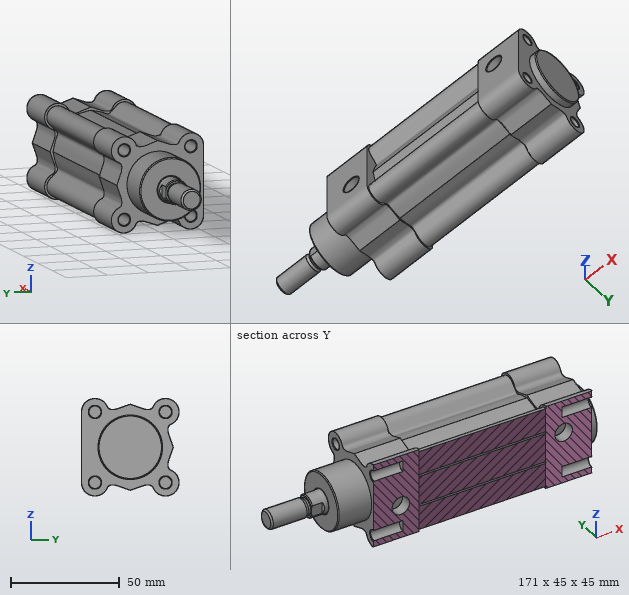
import cadquery as cq
import math


WRENCH_START = 21.5
WRENCH_END = 27.9
ROD_FULL = 28.7
BOSS_START = 30.0
FRONT_HEAD_START = 48.0
TUBE_START = 73.0
REAR_HEAD_START = 142.0
REAR_HEAD_END = 167.0
OVERALL_LENGTH = 171.0

ROD_RADIUS = 6.0
THREAD_RADIUS = 5.0
THREAD_END = 19.2
NECK_RADIUS = 4.5
NECK_START = 20.5
TIP_CHAMFER = 0.9
WRENCH_RADIUS = 5.8
WRENCH_CHAMFER = 0.5
ACROSS_FLATS = 10.1
FLAT_END = 27.4
RUNOUT_ANGLE = 45.0

HEAD_WIDTH = 45.0
HEAD_HALF_WIDTH = HEAD_WIDTH / 2
BOLT_OFFSET = 16.2
LOBE_RADIUS = HEAD_HALF_WIDTH - BOLT_OFFSET
VALLEY_HEIGHT = 17.5
VALLEY_CORNER = 6.8
PEAK_HEIGHT = 19.8
VALLEY_FILLET = 5.0
LOBE_FILLET = 2.0
BOSS_RADIUS = 14.9
BOSS_CHAMFER = 0.5
ROD_BORE_CHAMFER = 0.5
BOLT_HOLE_RADIUS = 2.7
BOLT_HOLE_CHAMFER = 0.3
BOLT_HOLE_DEPTH = 16.0
PORT_RADIUS = 4.6
PORT_CHAMFER = 0.3
PORT_DEPTH = 12.0
PORT_OFFSET = 5.0
FRONT_PORT_X = 63.1
REAR_PORT_X = 151.7

TUBE_CORE_RADIUS = 18.0
TUBE_HALF_WIDTH = 21.4
TUBE_LOBE_RADIUS = TUBE_HALF_WIDTH - BOLT_OFFSET
TUBE_RIDGE_ANGLE = 12.4
TUBE_RIB_ANGLE = 45.0
TUBE_FILLET = 1.9

MATCH_TOLERANCE = 0.02
SIDES = (0, 90, 180, 270)
QUADRANTS = ((1, 1), (-1, 1), (-1, -1), (1, -1))
BOLT_POINTS = [(y * BOLT_OFFSET, z * BOLT_OFFSET) for y, z in QUADRANTS]


def section_at(x):
    """Workplane across the piston axis, with local x along Y and local y along Z."""
    return cq.Workplane("YZ", origin=(x, 0, 0))


def is_close(a, b):
    return math.isclose(a, b, abs_tol=MATCH_TOLERANCE)


def edges_along_x(body, wanted):
    """Straight edges along X whose middle satisfies wanted(y, z)."""
    chosen = [edge for edge in body.edges("|X").vals() if wanted(edge.Center().y, edge.Center().z)]
    return body.newObject(chosen)


def make_rod():
    """Rod with threaded end, undercut neck and a collar with two wrench flats."""
    outline = [
        (0, 0),
        (0, THREAD_RADIUS - TIP_CHAMFER),
        (TIP_CHAMFER, THREAD_RADIUS),
        (THREAD_END, THREAD_RADIUS),
        (NECK_START, NECK_RADIUS),
        (WRENCH_START, NECK_RADIUS),
        (WRENCH_START, WRENCH_RADIUS - WRENCH_CHAMFER),
        (WRENCH_START + WRENCH_CHAMFER, WRENCH_RADIUS),
        (WRENCH_END, WRENCH_RADIUS),
        (ROD_FULL, ROD_RADIUS),
        (TUBE_START, ROD_RADIUS),
        (TUBE_START, 0),
    ]
    rod = cq.Workplane("XY").polyline(outline).close().revolve(360, (0, 0, 0), (1, 0, 0))

    flat_y = ACROSS_FLATS / 2
    cut_depth = ROD_RADIUS - flat_y
    runout = cut_depth / math.tan(math.radians(RUNOUT_ANGLE))
    flat_cut = (
        cq.Workplane("XY")
        .polyline([
            (WRENCH_START, flat_y),
            (FLAT_END, flat_y),
            (FLAT_END + runout, ROD_RADIUS),
            (WRENCH_START, ROD_RADIUS),
        ])
        .close()
        .extrude(ROD_RADIUS, both=True)
    )
    return rod.cut(flat_cut).cut(flat_cut.mirror("XZ"))


def make_head_block(start, end):
    """Lobed block with ridged sides and a flat -Y face."""
    length = end - start
    block = section_at(start).rect(2 * VALLEY_HEIGHT, 2 * VALLEY_HEIGHT).extrude(length)
    ridge = (
        section_at(start)
        .polyline([(-VALLEY_CORNER, VALLEY_HEIGHT), (0, PEAK_HEIGHT), (VALLEY_CORNER, VALLEY_HEIGHT)])
        .close()
        .extrude(length)
    )
    for angle in SIDES:
        block = block.union(ridge.rotate((0, 0, 0), (1, 0, 0), angle))
    block = block.union(section_at(start).pushPoints(BOLT_POINTS).circle(LOBE_RADIUS).extrude(length))
    flat_side = (
        section_at(start)
        .center(-HEAD_HALF_WIDTH / 2, 0)
        .rect(HEAD_HALF_WIDTH, 2 * BOLT_OFFSET)
        .extrude(length)
    )
    block = block.union(flat_side)

    def in_valley(y, z):
        return is_close(max(abs(y), abs(z)), VALLEY_HEIGHT)

    def at_ridge_foot(y, z):
        return in_valley(y, z) and is_close(min(abs(y), abs(z)), VALLEY_CORNER)

    def at_lobe_foot(y, z):
        return in_valley(y, z) and not at_ridge_foot(y, z)

    block = edges_along_x(block, at_lobe_foot).fillet(LOBE_FILLET)
    return edges_along_x(block, at_ridge_foot).fillet(VALLEY_FILLET)


def chamfered_drill(plane, radius, depth, chamfer):
    """Cutter that runs along the plane's normal, with a chamfered mouth at the plane."""
    mouth = plane.circle(radius + chamfer).workplane(offset=chamfer).circle(radius).loft()
    return plane.circle(radius).extrude(depth).union(mouth)


def cut_bolt_holes(head, face_x, direction):
    """Four bolt holes that run from face_x into the head along +X or -X."""
    for y, z in BOLT_POINTS:
        plane = cq.Workplane(cq.Plane(origin=(face_x, y, z), xDir=(0, 1, 0), normal=(direction, 0, 0)))
        head = head.cut(chamfered_drill(plane, BOLT_HOLE_RADIUS, BOLT_HOLE_DEPTH, BOLT_HOLE_CHAMFER))
    return head


def cut_port(head, x, z):
    """Air port in the flat -Y face."""
    plane = cq.Workplane(cq.Plane(origin=(x, -HEAD_HALF_WIDTH, z), xDir=(1, 0, 0), normal=(0, 1, 0)))
    return head.cut(chamfered_drill(plane, PORT_RADIUS, PORT_DEPTH, PORT_CHAMFER))


def make_boss(start, end, outer_face):
    """Round centring boss, chamfered at its outer face."""
    boss = section_at(start).circle(BOSS_RADIUS).extrude(end - start)
    return boss.faces(outer_face).chamfer(BOSS_CHAMFER)


def make_front_head():
    head = make_head_block(FRONT_HEAD_START, TUBE_START)
    head = head.union(make_boss(BOSS_START, FRONT_HEAD_START, "<X"))
    rod_bore = chamfered_drill(
        section_at(BOSS_START), ROD_RADIUS, TUBE_START - BOSS_START, ROD_BORE_CHAMFER
    )
    head = head.cut(rod_bore)
    head = cut_bolt_holes(head, FRONT_HEAD_START, 1)
    return cut_port(head, FRONT_PORT_X, -PORT_OFFSET)


def make_rear_head():
    head = make_head_block(REAR_HEAD_START, REAR_HEAD_END)
    head = head.union(make_boss(REAR_HEAD_END, OVERALL_LENGTH, ">X"))
    head = cut_bolt_holes(head, REAR_HEAD_END, -1)
    return cut_port(head, REAR_PORT_X, PORT_OFFSET)


def make_tube():
    """Extruded profile: round core, a low ridge on each side, a round-ended rib at each corner."""
    length = REAR_HEAD_START - TUBE_START
    tube = section_at(TUBE_START).circle(TUBE_CORE_RADIUS).extrude(length)

    ridge_angle = math.radians(TUBE_RIDGE_ANGLE)
    tangent_y = TUBE_CORE_RADIUS * math.sin(ridge_angle)
    tangent_z = TUBE_CORE_RADIUS * math.cos(ridge_angle)
    ridge_peak = TUBE_CORE_RADIUS / math.cos(ridge_angle)
    ridge = (
        section_at(TUBE_START)
        .polyline([(0, 0), (tangent_y, tangent_z), (0, ridge_peak), (-tangent_y, tangent_z)])
        .close()
        .extrude(length)
    )
    for angle in SIDES:
        tube = tube.union(ridge.rotate((0, 0, 0), (1, 0, 0), angle))

    rib_length = 2 * BOLT_OFFSET * math.sqrt(2) + 2 * TUBE_LOBE_RADIUS
    for angle in (TUBE_RIB_ANGLE, -TUBE_RIB_ANGLE):
        tube = tube.union(
            section_at(TUBE_START).slot2D(rib_length, 2 * TUBE_LOBE_RADIUS, angle).extrude(length)
        )

    rib_half_angle = math.asin(TUBE_LOBE_RADIUS / TUBE_CORE_RADIUS)
    foot = TUBE_CORE_RADIUS * math.sin(math.radians(TUBE_RIB_ANGLE) - rib_half_angle)

    def at_rib_foot(y, z):
        return is_close(min(abs(y), abs(z)), foot)

    return edges_along_x(tube, at_rib_foot).fillet(TUBE_FILLET)


rod = make_rod()
front_head = make_front_head()
tube = make_tube()
rear_head = make_rear_head()

result = cq.Compound.makeCompound([rod.val(), front_head.val(), tube.val(), rear_head.val()])